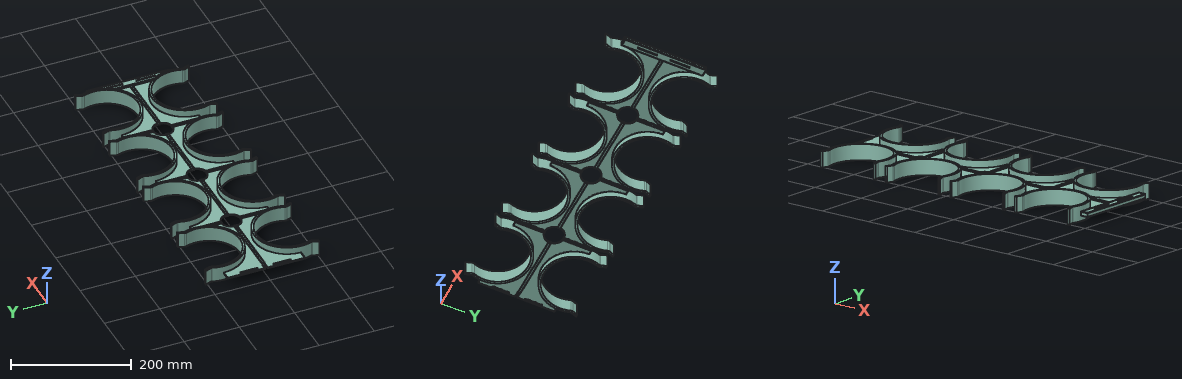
import cadquery as cq
import math

overall_length = 570.0
pitch = 140.0
clip_columns = 4
plate_width = 140.0
plate_thickness = 2.0

clip_height = 28.0
clip_inner_radius = 55.0
clip_wall = 4.0
tip_y = 102.5
arm_angle = 20.0
flare_angle = 20.0
inner_bend_radius = 6.0

hole_diameter = 35.0
rib_width = 4.5
rib_height = 5.0

bar_width = 15.0
bar_length = 150.0
bar_height = 8.0
bar_chamfer = 1.0
slot_width = 2.0
slot_length = 35.0

notch_depth = 11.5
snap_length = 31.0
snap_start = 1.5
snap_crest = 4.0
snap_height = 5.0
snap_center_y = 30.0

left_x = -overall_length / 2
right_x = overall_length / 2
bar_left_x = right_x - bar_width
ring_xs = [(i - (clip_columns - 1) / 2) * pitch for i in range(clip_columns)]
hole_xs = [x + pitch / 2 for x in ring_xs[:-1]]
ring_y = pitch / 2
clip_outer_radius = clip_inner_radius + clip_wall
outer_bend_radius = inner_bend_radius - clip_wall


def centered_box(x_min, x_max, y_min, y_max, height):
    """Box between the given X and Y limits, centred on Z = 0."""
    return (
        cq.Workplane("XY")
        .box(x_max - x_min, y_max - y_min, height)
        .translate(((x_min + x_max) / 2, (y_min + y_max) / 2, 0))
    )


def cylinder(x, y, radius, height):
    """Vertical cylinder centred on Z = 0."""
    return cq.Workplane("XY").circle(radius).extrude(height / 2, both=True).translate((x, y, 0))


def polar(center, radius, angle):
    """Point at the given radius and angle (degrees) around a centre."""
    return (
        center[0] + radius * math.cos(math.radians(angle)),
        center[1] + radius * math.sin(math.radians(angle)),
    )


def mirrored(point):
    """The point reflected to the other arm of the clip."""
    return (-point[0], point[1])


def wall_points(ring_radius, bend_radius):
    """Bend start, middle and end, and the tip, of one face of the right-hand clip wall."""
    bend_center = polar((0, 0), ring_radius + bend_radius, arm_angle)
    bend_start = polar(bend_center, bend_radius, 180 + arm_angle)
    bend_middle = polar(bend_center, bend_radius, 180 + (arm_angle - flare_angle) / 2)
    bend_end = polar(bend_center, bend_radius, 180 - flare_angle)
    tip_rise = tip_y - ring_y
    tip_run = (tip_rise - bend_end[1]) * math.tan(math.radians(flare_angle))
    return bend_start, bend_middle, bend_end, (bend_end[0] + tip_run, tip_rise)


def clip_profile(x, y):
    """Closed outline of one clip opening toward +Y, with its ring centre at (x, y)."""
    inner_start, inner_middle, inner_end, inner_tip = wall_points(clip_inner_radius, inner_bend_radius)
    outer_start, outer_middle, outer_end, outer_tip = wall_points(clip_outer_radius, outer_bend_radius)
    return (
        cq.Workplane("XY", origin=(x, y, 0))
        .moveTo(*inner_tip)
        .lineTo(*inner_end)
        .threePointArc(inner_middle, inner_start)
        .threePointArc((0, -clip_inner_radius), mirrored(inner_start))
        .threePointArc(mirrored(inner_middle), mirrored(inner_end))
        .lineTo(*mirrored(inner_tip))
        .lineTo(*mirrored(outer_tip))
        .lineTo(*mirrored(outer_end))
        .threePointArc(mirrored(outer_middle), mirrored(outer_start))
        .threePointArc((0, -clip_outer_radius), outer_start)
        .threePointArc(outer_middle, outer_end)
        .lineTo(*outer_tip)
        .close()
    )


def make_clips():
    """Two mirrored rows of clips."""
    row = cq.Workplane("XY")
    for x in ring_xs:
        row = row.union(clip_profile(x, ring_y).extrude(clip_height / 2, both=True))
    return row.union(row.mirror("XZ"))


def make_web():
    """Thin plate with a lengthwise rib and cross ribs, opened for the holes and pipes."""
    half_width = plate_width / 2
    web = centered_box(left_x, bar_left_x, -half_width, half_width, plate_thickness)
    web = web.union(centered_box(left_x, bar_left_x, -rib_width / 2, rib_width / 2, rib_height))
    for x in hole_xs:
        cross_rib = centered_box(x - rib_width / 2, x + rib_width / 2, -half_width, half_width, rib_height)
        web = web.union(cross_rib)
    for x in hole_xs:
        web = web.cut(cylinder(x, 0, hole_diameter / 2, clip_height))
    pipe_radius = (clip_inner_radius + clip_outer_radius) / 2
    for x in ring_xs:
        for y in (-ring_y, ring_y):
            web = web.cut(cylinder(x, y, pipe_radius, clip_height))
    notch = centered_box(left_x, left_x + notch_depth, -rib_width / 2, rib_width / 2, clip_height)
    return web.cut(notch)


def make_snap_ridge(center_y):
    """Wedge that rises from the plate edge and drops off at its crest, above and below."""
    return (
        cq.Workplane("XZ", origin=(left_x, center_y, 0))
        .moveTo(snap_start, -plate_thickness / 2)
        .lineTo(snap_crest, -snap_height / 2)
        .lineTo(snap_crest, snap_height / 2)
        .lineTo(snap_start, plate_thickness / 2)
        .close()
        .extrude(snap_length / 2, both=True)
    )


def make_bar():
    """Chamfered bar with two slots matching the snap ridges."""
    half_length = bar_length / 2
    bar = centered_box(bar_left_x, right_x, -half_length, half_length, bar_height)
    bar = bar.edges().chamfer(bar_chamfer)
    slot_x = (bar_left_x + right_x) / 2
    for y in (-snap_center_y, snap_center_y):
        slot = centered_box(
            slot_x - slot_width / 2,
            slot_x + slot_width / 2,
            y - slot_length / 2,
            y + slot_length / 2,
            bar_height,
        )
        bar = bar.cut(slot)
    return bar


result = make_web().union(make_clips()).union(make_bar())
for ridge_y in (-snap_center_y, snap_center_y):
    result = result.union(make_snap_ridge(ridge_y))